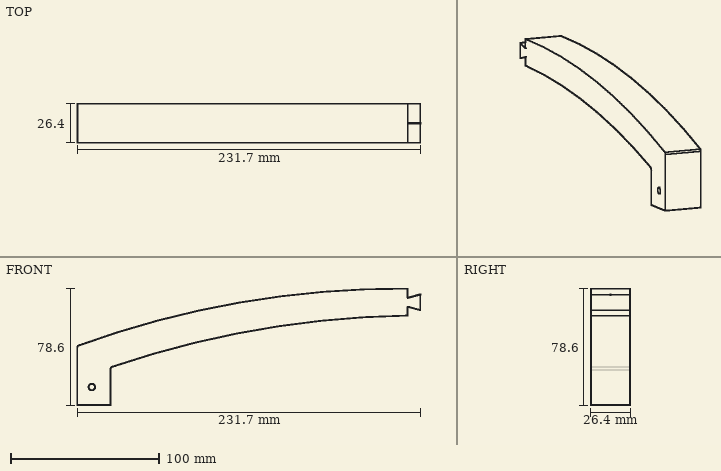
import math

import cadquery as cq

width = 26.43
height = 78.6
overall_length = 231.67

leg_depth = 22.6
leg_height = 40.1
chamfer_run = 0.6
chamfer_drop = 1.4
hole_diameter = 4.24
hole_x = 10.0
hole_z = 12.2

end_x = 222.7
end_thickness = 18.3
outer_sag = 10.1
inner_start_z = 25.4
inner_sag = 8.0
corner_radius = 2.0

tongue_length = 8.7
tongue_root_height = 5.8
tongue_tip_height = 10.6
tongue_center_z = 69.2

rod_diameter = 0.6


def extrude_across(sketch):
    """Extrude a closed XZ outline over the full width, symmetrically about Y = 0."""
    return sketch.extrude(width / 2, both=True)


def arm_and_leg():
    """Curved arm with the leg hanging from its left end."""
    outline = (
        cq.Workplane("XZ")
        .lineTo(leg_depth, 0)
        .lineTo(leg_depth, inner_start_z)
        .sagittaArc((end_x, height - end_thickness), inner_sag)
        .lineTo(end_x, height)
        .sagittaArc((chamfer_run, leg_height), -outer_sag)
        .lineTo(0, leg_height - chamfer_drop)
        .close()
    )
    inner_corner = cq.selectors.NearestToPointSelector((leg_depth, 0, inner_start_z))
    return extrude_across(outline).edges(inner_corner).fillet(corner_radius)


def tongue():
    """Dovetail tongue that widens towards its free end."""
    tip_x = end_x + tongue_length
    root_half = tongue_root_height / 2
    tip_half = tongue_tip_height / 2
    corners = [
        (end_x, tongue_center_z - root_half),
        (tip_x, tongue_center_z - tip_half),
        (tip_x, tongue_center_z + tip_half),
        (end_x, tongue_center_z + root_half),
    ]
    return extrude_across(cq.Workplane("XZ").polyline(corners).close())


def flank_rod():
    """Thin round rod along the upper flank of the tongue, ending just beyond the tongue's tip."""
    flank_rise = (tongue_tip_height - tongue_root_height) / 2
    flank_angle = math.atan2(flank_rise, tongue_length)
    radius = rod_diameter / 2
    reach = overall_length - end_x
    rod_length = (reach - radius * math.sin(flank_angle)) / math.cos(flank_angle)
    root = cq.Vector(end_x, 0, tongue_center_z + tongue_root_height / 2)
    direction = cq.Vector(tongue_length, 0, flank_rise)
    return cq.Workplane(cq.Solid.makeCylinder(radius, rod_length, root, direction))


def cross_hole():
    """Round hole through the leg along Y."""
    return extrude_across(cq.Workplane("XZ").center(hole_x, hole_z).circle(hole_diameter / 2))


result = arm_and_leg().union(tongue()).union(flank_rod()).cut(cross_hole())